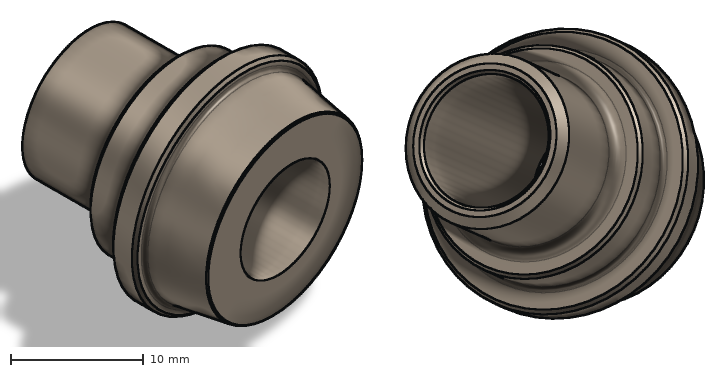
import cadquery as cq

total_length = 21.0
bore_diameter = 10.3
bore_chamfer = 0.26

spigot_radius = 13.5 / 2
spigot_chamfer_length = 0.48
spigot_chamfer_depth = 0.84
neck_fillet = 1.0

shoulder_start = 9.02
shoulder_radius = 18.0 / 2
shoulder_chamfer = 0.29
flange_root_fillet = 0.4

flange_start = 13.02
flange_end = 15.49
flange_radius = 22 / 2
flange_chamfer = 0.3

cone_root_radius = 9.95
cone_end_radius = shoulder_radius
cone_root_fillet = 0.4
cone_end_chamfer = 0.1


def circle_edges(x, radius):
    """Select the circular edge about X at the given place."""
    margin = 0.02
    return cq.selectors.BoxSelector(
        (x - margin, -radius - margin, -radius - margin),
        (x + margin, radius + margin, radius + margin),
        boundingbox=True,
    )


def revolved_body():
    """Outer steps and cone, revolved as one solid about X."""
    profile = (
        cq.Workplane("XY")
        .lineTo(0, spigot_radius - spigot_chamfer_depth)
        .lineTo(spigot_chamfer_length, spigot_radius)
        .lineTo(shoulder_start, spigot_radius)
        .lineTo(shoulder_start, shoulder_radius)
        .lineTo(flange_start, shoulder_radius)
        .lineTo(flange_start, flange_radius)
        .lineTo(flange_end, flange_radius)
        .lineTo(flange_end, cone_root_radius)
        .lineTo(total_length, cone_end_radius)
        .lineTo(total_length, 0)
        .close()
    )
    return profile.revolve(360, (0, 0, 0), (1, 0, 0))


body = revolved_body()

body = body.edges(circle_edges(shoulder_start, spigot_radius)).fillet(neck_fillet)
body = body.edges(circle_edges(flange_start, shoulder_radius)).fillet(flange_root_fillet)
body = body.edges(circle_edges(flange_end, cone_root_radius)).fillet(cone_root_fillet)

body = body.edges(circle_edges(shoulder_start, shoulder_radius)).edges(">Y").chamfer(shoulder_chamfer)
for flange_side in (flange_start, flange_end):
    body = body.edges(circle_edges(flange_side, flange_radius)).edges(">Y").chamfer(flange_chamfer)
body = body.edges(circle_edges(total_length, cone_end_radius)).chamfer(cone_end_chamfer)

bore = cq.Workplane("YZ").circle(bore_diameter / 2).extrude(total_length)
result = body.cut(bore)
result = result.edges(circle_edges(0, bore_diameter / 2)).chamfer(bore_chamfer)